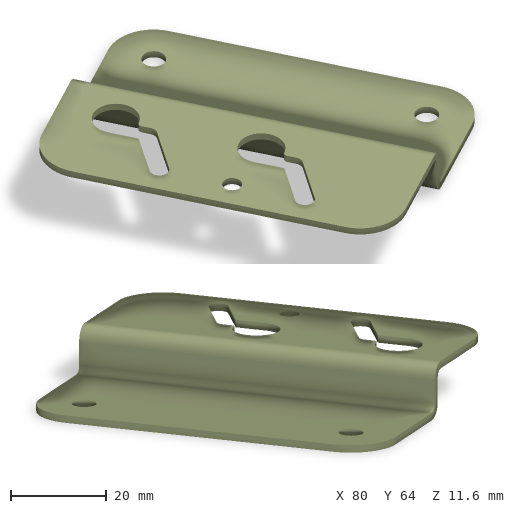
import cadquery as cq
import math

length = 80.0
width = 64.0
height = 11.6
thickness = 1.6
bend_outer_radius = 3.2
bend_inner_radius = bend_outer_radius - thickness
corner_radius = 10.0

web_back = 0.0
web_front = web_back - thickness

mount_diameter = 5.2
mount_x = length / 2 - corner_radius
mount_y = width / 2 - corner_radius

keyhole_diameter = 10.0
keyhole_radius = keyhole_diameter / 2
keyhole_pitch = 32.0
first_keyhole_x = -27.0
keyhole_y = -12.0
slot_width = 4.2
slot_angle = 60.0
slot_end_dx = 14.1
slot_end_dy = -13.6
throat_radius = 1.0
elbow_radius = 2.0

lock_diameter = 4.2
lock_x = first_keyhole_x + slot_end_dx + keyhole_pitch / 2
lock_y = keyhole_y + slot_end_dy


def bent_sheet():
    """Z-shaped section extruded along X, with sharp bends then rounded."""
    section = [
        (width / 2, 0),
        (web_front, 0),
        (web_front, height - thickness),
        (-width / 2, height - thickness),
        (-width / 2, height),
        (web_back, height),
        (web_back, thickness),
        (width / 2, thickness),
    ]
    sheet = cq.Workplane("YZ").polyline(section).close().extrude(length / 2, both=True)
    outer_bends = [(web_front, 0), (web_back, height)]
    inner_bends = [(web_front, height - thickness), (web_back, thickness)]
    for bends, radius in ((outer_bends, bend_outer_radius), (inner_bends, bend_inner_radius)):
        for y, z in bends:
            sheet = sheet.edges(cq.NearestToPointSelector((0, y, z))).fillet(radius)
    return sheet


def rounded_outline():
    """Plan outline of the plate, used to round its four corners."""
    outline = cq.Workplane("XY").rect(length, width).extrude(height)
    return outline.edges("|Z").fillet(corner_radius)


def keyhole_cutter(center_x):
    """Round entry, short straight neck and a slanted slot with a round end."""
    angle = math.radians(slot_angle)
    half_width = slot_width / 2
    neck_bottom = -keyhole_radius
    neck_top = neck_bottom + slot_width
    side_dx = half_width * math.sin(angle)
    side_dy = half_width * math.cos(angle)
    right_end = (slot_end_dx + side_dx, slot_end_dy + side_dy)
    left_end = (slot_end_dx - side_dx, slot_end_dy - side_dy)
    tip = (slot_end_dx + half_width * math.cos(angle), slot_end_dy - half_width * math.sin(angle))
    elbow_x = right_end[0] - (neck_top - right_end[1]) / math.tan(angle)
    inner_elbow_x = left_end[0] - (neck_bottom - left_end[1]) / math.tan(angle)
    throat_x = math.sqrt(keyhole_radius**2 - neck_top**2)

    cutter = (
        cq.Workplane("XY")
        .moveTo(0, neck_bottom)
        .lineTo(inner_elbow_x, neck_bottom)
        .lineTo(*left_end)
        .threePointArc(tip, right_end)
        .lineTo(elbow_x, neck_top)
        .lineTo(throat_x, neck_top)
        .threePointArc((-keyhole_radius, 0), (0, neck_bottom))
        .close()
        .extrude(height)
    )
    for x, radius in ((throat_x, throat_radius), (elbow_x, elbow_radius)):
        corner = cq.NearestToPointSelector((x, neck_top, height / 2))
        cutter = cutter.edges("|Z").edges(corner).fillet(radius)
    return cutter.translate((center_x, keyhole_y, 0))


def round_cutter(x, y, diameter):
    return cq.Workplane("XY").center(x, y).circle(diameter / 2).extrude(height)


result = bent_sheet().intersect(rounded_outline())
for hole_x in (-mount_x, mount_x):
    result = result.cut(round_cutter(hole_x, mount_y, mount_diameter))
for keyhole_x in (first_keyhole_x, first_keyhole_x + keyhole_pitch):
    result = result.cut(keyhole_cutter(keyhole_x))
result = result.cut(round_cutter(lock_x, lock_y, lock_diameter))